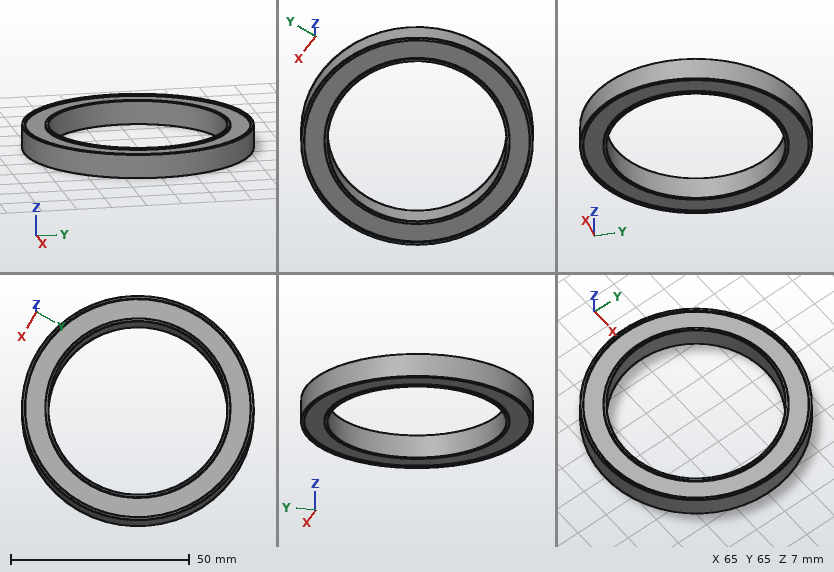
import cadquery as cq

outer_diameter = 65.0
bore_diameter = 50.0
width = 7.0

rim_width = 1.0
recess_depth = 0.5

chamfer_size = 0.2

outer_radius = outer_diameter / 2
bore_radius = bore_diameter / 2
half_width = width / 2


def ring(large_radius, small_radius, height, base_z):
    """Plain ring about the Z axis, standing on base_z."""
    return (
        cq.Workplane("XY")
        .workplane(offset=base_z)
        .circle(large_radius)
        .circle(small_radius)
        .extrude(height)
    )


def recess_cutter(base_z):
    """Shallow annular volume between the inner and outer rims."""
    return ring(outer_radius - rim_width, bore_radius + rim_width, recess_depth, base_z)


def recessed_ring():
    """Full-width ring with the recess cut into both end faces."""
    body = ring(outer_radius, bore_radius, width, -half_width)
    for recess_base in (half_width - recess_depth, -half_width):
        body = body.cut(recess_cutter(recess_base))
    return body


result = recessed_ring().faces(">Z or <Z").edges().chamfer(chamfer_size)